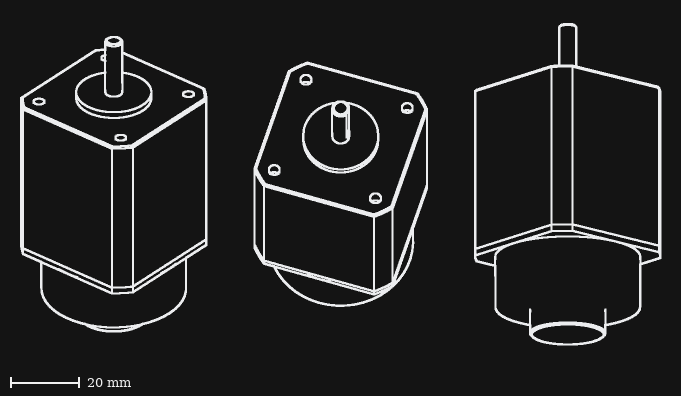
import cadquery as cq

WIDTH = 42.3
CORNER_RADIUS = 27.0
EDGE_CHAMFER = 0.5

REAR_DRUM_Z = 8.0
REAR_PLATE_Z = 23.6
MOTOR_REAR_Z = 25.6
MOTOR_FRONT_Z = 74.0
PILOT_FRONT_Z = 76.0
SHAFT_END_Z = 93.8

BOSS_DIAMETER = 21.95
SHAFT_DIAMETER = 5.0
FLAT_DEPTH = 0.4
FLAT_LENGTH = 15.0
DRUM_FILLET = 0.5
BOSS_ROOT_FILLET = 0.5

HOLE_SPACING = 31.0
HOLE_DIAMETER = 3.2
HOLE_DEPTH = 4.5


def cylinder(diameter, bottom, top):
    return cq.Workplane("XY").workplane(offset=bottom).circle(diameter / 2).extrude(top - bottom)


def square_section(bottom, top):
    """Square prism whose corners are rounded by a cylinder about the axis."""
    square = cq.Workplane("XY").workplane(offset=bottom).rect(WIDTH, WIDTH).extrude(top - bottom)
    return square.intersect(cylinder(2 * CORNER_RADIUS, bottom, top))


def make_shaft():
    """Output shaft with a chamfered tip and a flat on its +Y side."""
    shaft = cylinder(SHAFT_DIAMETER, MOTOR_FRONT_Z, SHAFT_END_Z).faces(">Z").chamfer(EDGE_CHAMFER)
    flat_cut = (
        cq.Workplane("XY")
        .workplane(offset=SHAFT_END_Z - FLAT_LENGTH)
        .center(0, SHAFT_DIAMETER - FLAT_DEPTH)
        .rect(SHAFT_DIAMETER, SHAFT_DIAMETER)
        .extrude(FLAT_LENGTH)
    )
    return shaft.cut(flat_cut)


def make_motor():
    """Motor case with mounting holes, front pilot and output shaft."""
    case = square_section(MOTOR_REAR_Z, MOTOR_FRONT_Z).faces(">Z").chamfer(EDGE_CHAMFER)
    holes = (
        cq.Workplane("XY")
        .workplane(offset=MOTOR_FRONT_Z)
        .rect(HOLE_SPACING, HOLE_SPACING, forConstruction=True)
        .vertices()
        .circle(HOLE_DIAMETER / 2)
        .extrude(-HOLE_DEPTH)
    )
    pilot = cylinder(BOSS_DIAMETER, MOTOR_FRONT_Z, PILOT_FRONT_Z)
    return case.cut(holes).union(pilot).union(make_shaft())


def make_rear_unit():
    """Rear plate carrying a round drum and a smaller end boss."""
    plate = square_section(REAR_PLATE_Z, MOTOR_REAR_Z)
    drum = cylinder(WIDTH, REAR_DRUM_Z, REAR_PLATE_Z).faces("<Z").fillet(DRUM_FILLET)
    boss = cylinder(BOSS_DIAMETER, 0, REAR_DRUM_Z).faces("<Z").chamfer(EDGE_CHAMFER)
    root_point = (0, 0, REAR_DRUM_Z)
    drum_and_boss = drum.union(boss).edges(cq.NearestToPointSelector(root_point)).fillet(BOSS_ROOT_FILLET)
    return drum_and_boss.union(plate)


motor = make_motor()
rear_unit = make_rear_unit()

result = cq.Compound.makeCompound([motor.val(), rear_unit.val()])